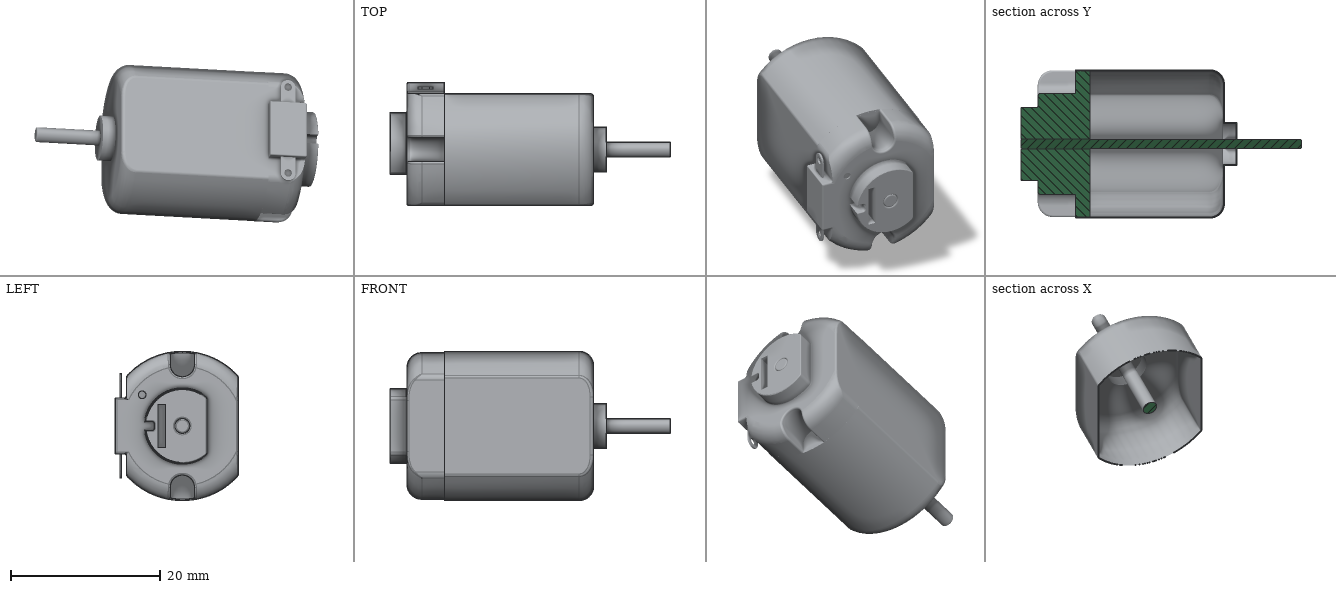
import cadquery as cq
import math

SMALL = 0.005

overall_length = 37.6
body_radius = 10.0
body_width = 15.0
body_half_width = body_width / 2
overall_width = 16.5
end_round = 2.0

boss_height = 2.3
cap_length = 5.0
can_length = 20.0

cap_rear = boss_height
can_rear = cap_rear + cap_length
can_front = can_rear + can_length

can_side_round = 0.5
bearing_diameter = 6.0
bearing_length = 1.7
can_wall = 0.2

bearing_front = can_front + bearing_length

shaft_diameter = 2.0
shaft_tip_round = 0.2

cap_corner_round = 1.2
cap_edge_round = 0.25
slot_width = 3.25
slot_bottom = 6.58
block_outer = overall_width - body_half_width
block_height = 7.52
block_edge_round = 0.15
spigot_length = 2.0
dimple_diameter = 1.0
dimple_depth = 0.2
dimple_y = 5.38
dimple_z = 4.17

boss_radius = 5.0
boss_flat_y = -3.3
boss_corner_round = 0.6
boss_edge_round = 0.1
boss_hole_round = 0.2
notch_width = 1.25
notch_bottom_y = 3.72
notch_corner_round = 0.38
window_width = 1.0
window_height = 5.8
window_y = 2.8

terminal_thickness = 0.25
terminal_width = 2.0
terminal_tip_z = 7.0
terminal_hole_diameter = 1.0
terminal_x = cap_rear + cap_length / 2
terminal_y = (body_half_width + block_outer) / 2


def yz_plane(x):
    """Workplane facing +X at the given X, with local axes Y and Z."""
    return cq.Workplane("YZ", origin=(x, 0, 0))


def flat_sided_prism(rear, length, inset=0.0):
    """Cylinder along X with its two sides cut flat, shrunk sideways by the inset."""
    slab = yz_plane(rear).rect(2 * (body_half_width - inset), 2 * body_radius).extrude(length)
    return yz_plane(rear).circle(body_radius - inset).extrude(length).intersect(slab)


def shaft_bore(rear, front):
    """Cylinder of the shaft's diameter on the axis, for the shaft and the holes it runs in."""
    return yz_plane(rear).circle(shaft_diameter / 2).extrude(front - rear)


def can_form(inset):
    """Solid shape of the can, shrunk by the inset everywhere but at its open rear end."""
    front = can_front - inset
    front_round = end_round - inset
    prism = flat_sided_prism(can_rear, front - can_rear, inset)
    cylinder = yz_plane(can_rear).circle(body_radius - inset).extrude(front - can_rear)
    form = prism.intersect(cylinder.faces(">X").edges().fillet(front_round))
    for side in ("<Y", ">Y"):
        outline = form.faces(side).edges().vals()
        rounded_edges = [edge for edge in outline if edge.Center().x > can_rear + SMALL]
        form = form.newObject(rounded_edges).fillet(can_side_round - inset)
    cup = yz_plane(front).circle(bearing_diameter / 2 - inset).extrude(bearing_length)
    return form.union(cup)


def make_can():
    return can_form(0).cut(can_form(can_wall)).cut(shaft_bore(can_rear, bearing_front))


def cap_body():
    """Flat-sided cap with the terminal block on its +Y side."""
    prism = flat_sided_prism(cap_rear, cap_length).edges("|X").fillet(cap_corner_round)
    cylinder = yz_plane(cap_rear).circle(body_radius).extrude(cap_length)
    body = cylinder.faces("<X").edges().fillet(end_round).intersect(prism)
    body = body.edges("<X and <Y").fillet(cap_edge_round)
    body = body.union(terminal_block())
    inner_corners = [
        edge
        for edge in body.edges("|X").vals()
        if abs(edge.Center().y - body_half_width) < SMALL and abs(edge.Center().z) < block_height / 2 + SMALL
    ]
    return body.newObject(inner_corners).fillet(cap_edge_round)


def terminal_block():
    """Block on the +Y side, reaching inward to the axis so that it merges with the cap."""
    return (
        yz_plane(cap_rear)
        .center(block_outer / 2, 0)
        .rect(block_outer, block_height)
        .extrude(cap_length)
        .edges("|X and >Y")
        .fillet(block_edge_round)
        .edges("<X and (not <Y)")
        .fillet(cap_edge_round)
    )


def cap_slot(side):
    """Cutter for the round-bottomed slot at the top (side = 1) or bottom (side = -1)."""
    half_width = slot_width / 2
    arc_end_z = slot_bottom + half_width
    return (
        yz_plane(cap_rear)
        .moveTo(-half_width, side * arc_end_z)
        .threePointArc((0, side * slot_bottom), (half_width, side * arc_end_z))
        .lineTo(half_width, side * 2 * body_radius)
        .lineTo(-half_width, side * 2 * body_radius)
        .close()
        .extrude(cap_length)
    )


def slotted_cap():
    """Cap body with both slots cut and their rims rounded."""
    cap = cap_body()
    for side in (1, -1):
        cap = cap.cut(cap_slot(side))
        rim = [
            edge
            for edge in cap.edges().vals()
            if abs(edge.Center().y) < slot_width / 2 + SMALL
            and side * edge.Center().z > slot_bottom - SMALL
            and edge.BoundingBox().xmin < can_rear - SMALL
            and abs(abs(edge.Center().z) - slot_bottom - slot_width / 2) > SMALL
        ]
        cap = cap.newObject(rim).fillet(cap_edge_round)
    return cap


def make_boss():
    """Disc with one flat side, a notch on the opposite side and a rounded rear edge."""
    disc = yz_plane(0).circle(boss_radius).extrude(boss_height)
    kept = (
        yz_plane(0)
        .center(boss_flat_y + boss_radius, 0)
        .rect(2 * boss_radius, 2 * boss_radius)
        .extrude(boss_height)
    )
    disc = disc.intersect(kept).edges("|X and <Y").fillet(boss_corner_round)
    notch = (
        yz_plane(0)
        .center(notch_bottom_y + boss_radius / 2, 0)
        .rect(boss_radius, notch_width)
        .extrude(boss_height)
        .edges("|X and <Y")
        .fillet(notch_corner_round)
    )
    return disc.cut(notch).faces("<X").edges().fillet(boss_edge_round)


def make_cap():
    """Slotted cap with boss, spigot, window, dimple and shaft hole."""
    cap = slotted_cap().union(make_boss())
    boss_base = [
        edge
        for edge in cap.faces("<X[1]").edges().vals()
        if math.hypot(edge.Center().y, edge.Center().z) < boss_radius + SMALL
    ]
    cap = cap.newObject(boss_base).fillet(boss_edge_round)
    spigot = can_form(can_wall).intersect(yz_plane(can_rear).circle(body_radius).extrude(spigot_length))
    window = yz_plane(0).center(window_y, 0).rect(window_width, window_height).extrude(boss_height)
    dimple = yz_plane(cap_rear).center(dimple_y, dimple_z).circle(dimple_diameter / 2).extrude(dimple_depth)
    cap = cap.union(spigot).cut(window).cut(dimple).cut(shaft_bore(0, can_rear + spigot_length))
    return cap.edges(cq.selectors.BoxSelector((-SMALL,) * 3, (SMALL,) * 3)).fillet(boss_hole_round)


def make_shaft():
    return shaft_bore(0, overall_length).faces("<X or >X").edges().fillet(shaft_tip_round)


def make_terminal(side):
    """Round-ended tab with a hole, standing on the top (side = 1) or bottom (side = -1) of the block."""
    tip_radius = terminal_width / 2
    center_z = terminal_tip_z - tip_radius
    plane = cq.Workplane("XZ", origin=(terminal_x, terminal_y + terminal_thickness / 2, 0))
    tab = (
        plane.moveTo(-tip_radius, side * block_height / 2)
        .lineTo(-tip_radius, side * center_z)
        .threePointArc((0, side * terminal_tip_z), (tip_radius, side * center_z))
        .lineTo(tip_radius, side * block_height / 2)
        .close()
        .extrude(terminal_thickness)
    )
    hole = plane.center(0, side * center_z).circle(terminal_hole_diameter / 2).extrude(terminal_thickness)
    return tab.cut(hole)


can = make_can()
cap = make_cap()
shaft = make_shaft()
terminals = [make_terminal(side) for side in (1, -1)]

result = cq.Compound.makeCompound([can.val(), cap.val(), shaft.val(), *[t.val() for t in terminals]])